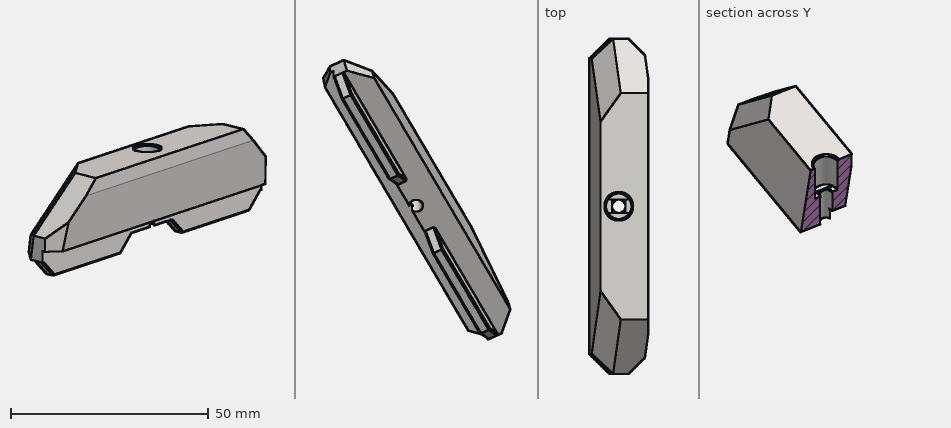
import cadquery as cq
import math

length = 85.0
width = 15.0
height = 20.4
lean = math.tan(math.radians(8))
back_vertical = 3.8
step_height = 3.1
step_x = 1.5
half_length = length / 2
half_width = width / 2

top_end_chamfer = 13.85
front_end_chamfer = 5.1
back_corner_x = 2.5

rail_width = 2.9
rail_height = 4.5
rail_inner_y = 7.5
rail_edge_chamfer = 0.3

bore_diameter = 6.5
bore_depth = 10.2
bore_chamfer = 0.4
screw_diameter = 3.4
floor_step = 0.25


def make_body():
    """Leaning bar with a stepped underside, extruded along its length."""
    back_lower_x = half_width - lean * (height - back_vertical - step_height)
    profile = [
        (-half_width, 0),
        (-half_width + lean * height, height),
        (half_width, height),
        (half_width, height - back_vertical),
        (back_lower_x, step_height),
        (step_x, step_height),
        (step_x, 0),
    ]
    return cq.Workplane("XZ").polyline(profile).close().extrude(half_length, both=True)


def cut_ends(body):
    """Slope the ends down from the top, then bevel their front and back edges."""
    body = body.faces(">Z").edges("|X").chamfer(top_end_chamfer)
    front_edges = body.faces("<X").edges("not(|Y)")
    body = front_edges.chamfer(front_end_chamfer)

    cut_size = half_width - back_corner_x
    for side in (1, -1):
        corner = [
            (back_corner_x, side * half_length),
            (half_width, side * half_length),
            (half_width, side * (half_length - cut_size)),
        ]
        body = body.cut(cq.Workplane("XY").polyline(corner).close().extrude(height))
    return body


def make_rail():
    """Rail with 45 degree ends on the +Y half, bevelled below and at its ends."""
    outline = [
        (rail_inner_y, 0),
        (half_length, 0),
        (half_length - rail_height, -rail_height),
        (rail_inner_y + rail_height, -rail_height),
    ]
    rail = (
        cq.Workplane("YZ", origin=(step_x - rail_width, 0, 0))
        .polyline(outline).close()
        .extrude(rail_width)
    )
    side_edges = rail.faces("<X or >X").edges("not >Z")
    return side_edges.chamfer(rail_edge_chamfer)


def make_screw_hole():
    """Chamfered bore whose floor steps to a slot, a square and a round hole."""
    floor_z = height - bore_depth
    bore_profile = [
        (0, floor_z),
        (bore_diameter / 2, floor_z),
        (bore_diameter / 2, height - bore_chamfer),
        (bore_diameter / 2 + bore_chamfer, height),
        (0, height),
    ]
    bore = cq.Workplane("XZ").polyline(bore_profile).close().revolve(360, (0, 0), (0, 1))
    slot = (
        cq.Workplane("XY", origin=(0, 0, floor_z - floor_step))
        .circle(bore_diameter / 2).extrude(floor_step)
        .intersect(cq.Workplane("XY").box(bore_diameter, screw_diameter, 2 * height))
    )
    square = (
        cq.Workplane("XY", origin=(0, 0, floor_z - 2 * floor_step))
        .rect(screw_diameter, screw_diameter).extrude(floor_step)
    )
    screw = cq.Workplane("XY").circle(screw_diameter / 2).extrude(height)
    return bore.union(slot).union(square).union(screw)


rail = make_rail()
result = (
    cut_ends(make_body())
    .union(rail)
    .union(rail.mirror("XZ"))
    .cut(make_screw_hole())
)